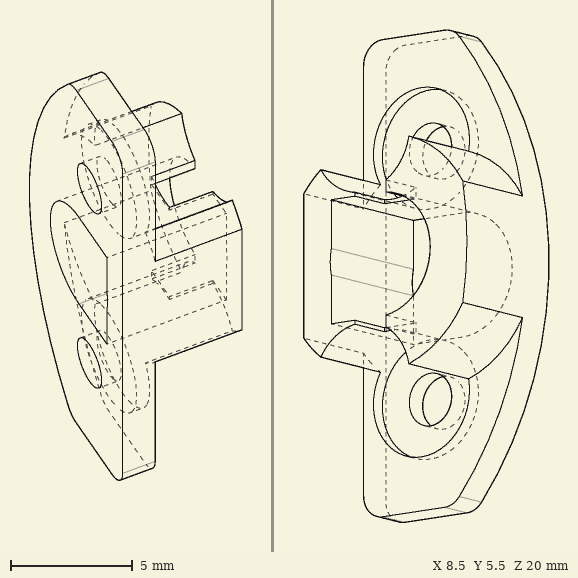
import cadquery as cq
import math

width = 8.5
depth = 5.5
height = 20.0
plate_thickness = 1.5

outer_radius = 15.0
corner_radius = 1.0

boss_radius = 5.0
opening_radius = 2.6
opening_center_x = 4.52
opening_flat_x = 7.05

screw_x = 5.48
screw_z = 5.25
screw_diameter = 2.2
head_recess_radius = 2.5
head_seat_y = 0.9

notch_left_x = 4.22
notch_width = 1.62
notch_depth = 2.0


def back_plane(y):
    """Sketch plane with local axes X and Z, extruding toward +Y from the given y."""
    return cq.Workplane(cq.Plane(origin=(0, y, 0), xDir=(1, 0, 0), normal=(0, -1, 0)))


def prism_of_plate_outline(length):
    """Flat-sided segment with a curved left side and rounded corners."""
    half_height = height / 2
    arc_end_x = outer_radius - math.sqrt(outer_radius**2 - half_height**2)
    return (
        back_plane(0)
        .moveTo(arc_end_x, half_height)
        .lineTo(width, half_height)
        .lineTo(width, -half_height)
        .lineTo(arc_end_x, -half_height)
        .threePointArc((0, 0), (arc_end_x, half_height))
        .close()
        .extrude(-length)
        .edges("|Y")
        .fillet(corner_radius)
    )


def make_boss():
    """Round boss trimmed to the plate outline."""
    boss = back_plane(0).center(opening_center_x, 0).circle(boss_radius).extrude(-depth)
    return boss.intersect(prism_of_plate_outline(depth))


def make_opening():
    """Through opening: a round bore squared off on its right side.

    The bore reaches slightly past the flat, leaving a shallow groove in it.
    """
    bore = back_plane(0).center(opening_center_x, 0).circle(opening_radius).extrude(-depth)
    square_side = cq.Workplane("XY").box(
        opening_flat_x - opening_center_x,
        depth,
        2 * opening_radius,
        centered=(False, False, True),
    )
    return bore.union(square_side.translate((opening_center_x, 0, 0)))


def make_screw_holes():
    """Two through holes, each with a wide head recess that also bites into the boss."""
    centers = [(screw_x, screw_z), (screw_x, -screw_z)]
    holes = back_plane(0).pushPoints(centers).circle(screw_diameter / 2).extrude(-depth)
    recesses = (
        back_plane(head_seat_y)
        .pushPoints(centers)
        .circle(head_recess_radius)
        .extrude(head_seat_y - depth)
    )
    return holes.union(recesses)


def make_notch():
    """Slot through both side walls of the boss, open at the back."""
    return cq.Workplane("XY").box(
        notch_width, notch_depth, height, centered=(False, False, True)
    ).translate((notch_left_x, depth - notch_depth, 0))


result = prism_of_plate_outline(plate_thickness).union(make_boss())
result = result.cut(make_opening()).cut(make_screw_holes()).cut(make_notch())